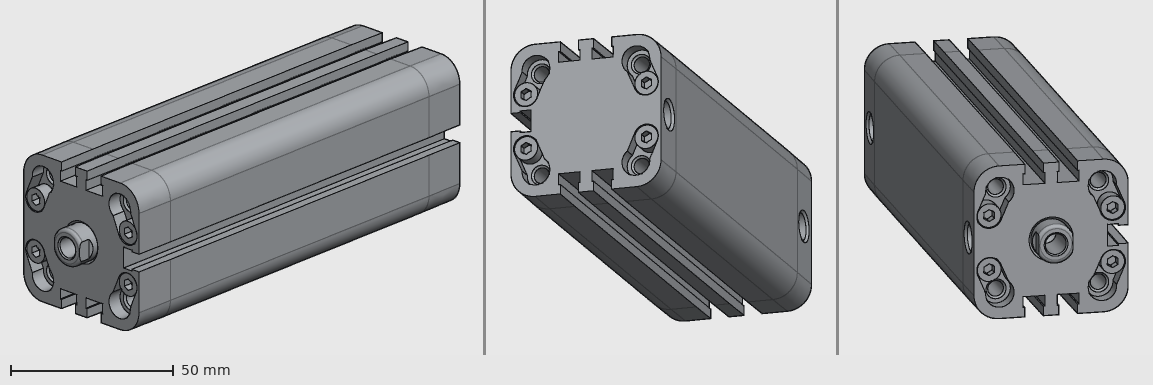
import cadquery as cq
import math

width = 49.0
total_length = 150.2
rod_projection = 6.5
body_length = total_length - rod_projection
rear_y = total_length / 2
front_y = rear_y - body_length
middle_y = (front_y + rear_y) / 2

corner_radius = 8.0
cap_length = 14.0
cap_draft = 0.1
tube_length = body_length - 2 * cap_length

slot_neck_width = 5.9
slot_neck_depth = 3.2
slot_inner_width = 6.9
slot_depth = 6.6
slot_offset = 5.4

hole_pitch = 32.5
hole_diameter = 5.0
hole_mouth_diameter = 6.3
screw_pitch_x = 39.0
screw_pitch_z = 17.3
pocket_slot_width = 8.0
pocket_hole_end_diameter = 9.0
pocket_depth = 5.0
head_diameter = 7.5
head_height = 4.7
hex_across_flats = 3.3
hex_depth = 3.0

port_setback = 7.5
port_diameter = 8.5
port_mouth_diameter = 10.2
port_depth = 8.0
feed_diameter = 2.5
feed_depth = 4.5
feed_offset = 2.1

rod_diameter = 12.5
rod_clearance_diameter = 14.0
rod_tip_radius = 1.2
flats_width = 10.7
flats_length = 4.2
flats_runout = 0.9
bore_diameter = 6.6
bore_mouth_diameter = 7.5
bore_depth = 13.5
drill_point_angle = 118
drill_tip_diameter = 1.4


def cylinder(start, direction, diameter, length):
    solid = cq.Solid.makeCylinder(diameter / 2, length, cq.Vector(*start), cq.Vector(*direction))
    return cq.Workplane(solid)


def cone(start, direction, start_diameter, end_diameter, length):
    base, axis = cq.Vector(*start), cq.Vector(*direction)
    return cq.Workplane(cq.Solid.makeCone(start_diameter / 2, end_diameter / 2, length, base, axis))


def mouth_chamfer(start, direction, mouth_diameter, diameter):
    """45-degree cone that widens the mouth of a round hole."""
    return cone(start, direction, mouth_diameter, diameter, (mouth_diameter - diameter) / 2)


def mirror_ends(shape):
    """Copy a front-end feature to the rear end."""
    return shape.mirror("XZ", (0, middle_y, 0))


def barrel_with_caps():
    """Rounded square tube with a slightly tapered cap on each end."""
    profile = cq.Sketch().rect(width, width).vertices().fillet(corner_radius)
    tube_front = cq.Workplane("XZ", origin=(0, front_y + cap_length, 0)).placeSketch(profile)
    tube = tube_front.extrude(-tube_length)
    draft_angle = math.degrees(math.atan(cap_draft / cap_length))
    cap = tube_front.extrude(cap_length, taper=draft_angle)
    return tube.union(cap).union(mirror_ends(cap))


def sensor_slot(offset, turn):
    """Full-length slot in the top side, turned about the Y axis to the side it belongs to."""
    neck = cq.Workplane().box(slot_neck_width, body_length, slot_depth, centered=(True, True, False))
    inner_height = slot_depth - slot_neck_depth
    inner = cq.Workplane().box(slot_inner_width, body_length, inner_height, centered=(True, True, False))
    slot = neck.union(inner).translate((offset, middle_y, width / 2 - slot_depth))
    return slot.rotate((0, 0, 0), (0, 1, 0), turn)


def screw_pocket(side_x, side_z):
    """Slot from a mounting hole to its neighbouring screw, widened by a round end at the hole."""
    hole_x, hole_z = side_x * hole_pitch / 2, side_z * hole_pitch / 2
    screw_x, screw_z = side_x * screw_pitch_x / 2, side_z * screw_pitch_z / 2
    run_x, run_z = screw_x - hole_x, screw_z - hole_z
    slot_length = math.hypot(run_x, run_z) + pocket_slot_width
    slot = (
        cq.Workplane("XZ", origin=(0, front_y, 0))
        .center((hole_x + screw_x) / 2, (hole_z + screw_z) / 2)
        .slot2D(slot_length, pocket_slot_width, math.degrees(math.atan2(run_z, run_x)))
        .extrude(-pocket_depth)
    )
    return slot.union(cylinder((hole_x, front_y, hole_z), (0, 1, 0), pocket_hole_end_diameter, pocket_depth))


def screw_head(side_x, side_z):
    """Round head with a hexagon socket, standing on the pocket floor."""
    floor_y = front_y + pocket_depth
    top_y = floor_y - head_height
    x, z = side_x * screw_pitch_x / 2, side_z * screw_pitch_z / 2
    head = cylinder((x, floor_y, z), (0, -1, 0), head_diameter, head_height)
    hex_across_corners = hex_across_flats / math.cos(math.radians(30))
    socket = (
        cq.Workplane("XZ", origin=(x, top_y, z))
        .transformed(rotate=(0, 0, 90))
        .polygon(6, hex_across_corners)
        .extrude(-hex_depth)
    )
    return head.cut(socket)


def mounting_hole(side_x, side_z):
    """Through hole, chamfered where it meets the pocket floor at each end."""
    x, z = side_x * hole_pitch / 2, side_z * hole_pitch / 2
    hole = cylinder((x, front_y, z), (0, 1, 0), hole_diameter, body_length)
    mouth = mouth_chamfer((x, front_y + pocket_depth, z), (0, 1, 0), hole_mouth_diameter, hole_diameter)
    return hole.union(mouth).union(mirror_ends(mouth))


def air_port():
    """Front port with a chamfered mouth and an offset feed hole in its floor."""
    wall_x = -width / 2
    port_y = front_y + port_setback
    inward = (1, 0, 0)
    port = cylinder((wall_x, port_y, 0), inward, port_diameter, port_depth)
    mouth = mouth_chamfer((wall_x, port_y, 0), inward, port_mouth_diameter, port_diameter)
    feed = cylinder((wall_x + port_depth, port_y + feed_offset, 0), inward, feed_diameter, feed_depth)
    return port.union(mouth).union(feed)


def rod_end():
    """Rod with two spanner flats, rooted inside the front cap, and the drilled hole to cut from it."""
    root_y = front_y + cap_length
    tip_y = -total_length / 2
    rod = cylinder((0, root_y, 0), (0, -1, 0), rod_diameter, root_y - tip_y)
    rod = rod.faces("<Y").edges().fillet(rod_tip_radius)
    flat_cut = (
        cq.Workplane("XY", origin=(0, 0, -rod_diameter / 2))
        .moveTo(flats_width / 2, tip_y)
        .lineTo(flats_width / 2, tip_y + flats_length)
        .lineTo(rod_diameter / 2, tip_y + flats_length + flats_runout)
        .lineTo(rod_diameter, tip_y + flats_length + flats_runout)
        .lineTo(rod_diameter, tip_y)
        .close()
        .extrude(rod_diameter)
    )
    bore = cylinder((0, tip_y, 0), (0, 1, 0), bore_diameter, bore_depth)
    bore_mouth = mouth_chamfer((0, tip_y, 0), (0, 1, 0), bore_mouth_diameter, bore_diameter)
    point_length = (bore_diameter - drill_tip_diameter) / 2 / math.tan(math.radians(drill_point_angle / 2))
    drill_point = cone((0, tip_y + bore_depth, 0), (0, 1, 0), bore_diameter, drill_tip_diameter, point_length)
    rod = rod.cut(flat_cut).cut(flat_cut.mirror("YZ"))
    return rod, bore.union(bore_mouth).union(drill_point)


body = barrel_with_caps()

for offset, turn in [
    (-slot_offset, 0), (slot_offset, 0),
    (-slot_offset, 180), (slot_offset, 180),
    (0, 90),
]:
    body = body.cut(sensor_slot(offset, turn))

for side_x in (-1, 1):
    for side_z in (-1, 1):
        pocket = screw_pocket(side_x, side_z)
        head = screw_head(side_x, side_z)
        body = body.cut(pocket).cut(mirror_ends(pocket))
        body = body.cut(mounting_hole(side_x, side_z))
        body = body.union(head).union(mirror_ends(head))

front_port = air_port()
body = body.cut(front_port).cut(mirror_ends(front_port))

rod, rod_bore = rod_end()
rod_recess = mouth_chamfer((0, front_y, 0), (0, 1, 0), rod_clearance_diameter, rod_diameter)
result = body.cut(rod_recess).union(rod).cut(rod_bore)